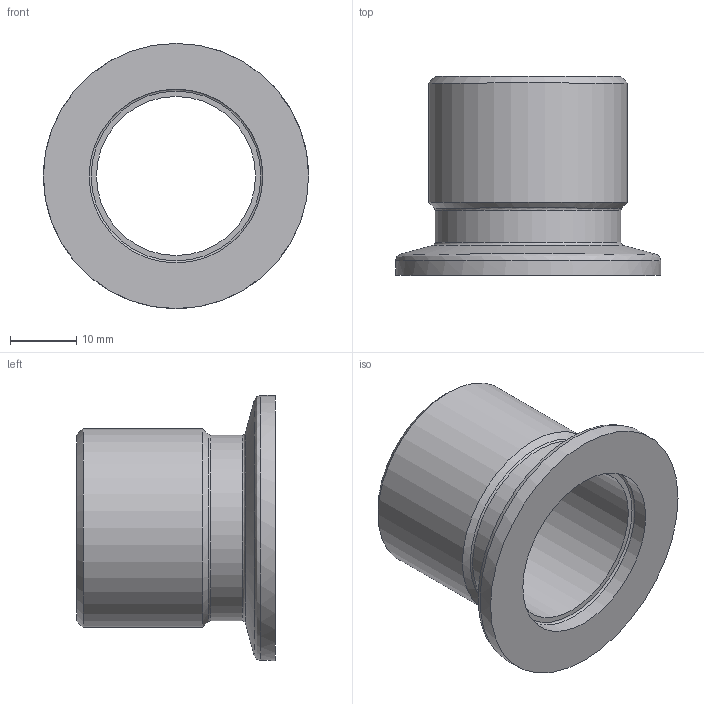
import cadquery as cq
import math

total_length = 30.0
flange_radius = 20.0
body_radius = 15.0
neck_radius = 14.0
bore_radius = 12.0

flange_rim_thickness = 3.0
flange_back_angle = 15.0
flange_rim_fillet = 1.0

neck_end_position = 10.0
neck_fillet = 0.5
body_chamfer = body_radius - neck_radius

recess_radius = 13.1
recess_depth = 2.6
recess_fillet = 0.3

flange_back_rise = (flange_radius - neck_radius) * math.tan(math.radians(flange_back_angle))
neck_start_position = flange_rim_thickness + flange_back_rise


def circle_edges_at(solid, radius, position):
    """Select the circular edges of the given radius, centred on the Y axis at the given position."""
    tolerance = 0.001
    reach = radius + tolerance
    box = cq.selectors.BoxSelector(
        (-reach, position - tolerance, -reach),
        (reach, position + tolerance, reach),
        boundingbox=True,
    )
    return solid.edges("%CIRCLE").edges(box)


def make_outer_body():
    """Revolve the outer outline, given as (radius, position along Y), then round its corners."""
    outline = [
        (0, 0),
        (flange_radius, 0),
        (flange_radius, flange_rim_thickness),
        (neck_radius, neck_start_position),
        (neck_radius, neck_end_position),
        (body_radius, neck_end_position + body_chamfer),
        (body_radius, total_length - body_chamfer),
        (body_radius - body_chamfer, total_length),
        (0, total_length),
    ]
    body = cq.Workplane("XY").polyline(outline).close().revolve(360, (0, 0, 0), (0, 1, 0))
    body = circle_edges_at(body, flange_radius, flange_rim_thickness).fillet(flange_rim_fillet)
    for position in (neck_start_position, neck_end_position):
        body = circle_edges_at(body, neck_radius, position).fillet(neck_fillet)
    return body


def cylinder_along_y(radius, length):
    """Cylinder on the Y axis, starting at the flange face."""
    return cq.Workplane("XZ").circle(radius).extrude(-length)


def make_bore():
    """Through bore joined with the recess, whose floor corner is rounded."""
    recess = cylinder_along_y(recess_radius, recess_depth).faces(">Y").edges().fillet(recess_fillet)
    return cylinder_along_y(bore_radius, total_length).union(recess)


result = make_outer_body().cut(make_bore())